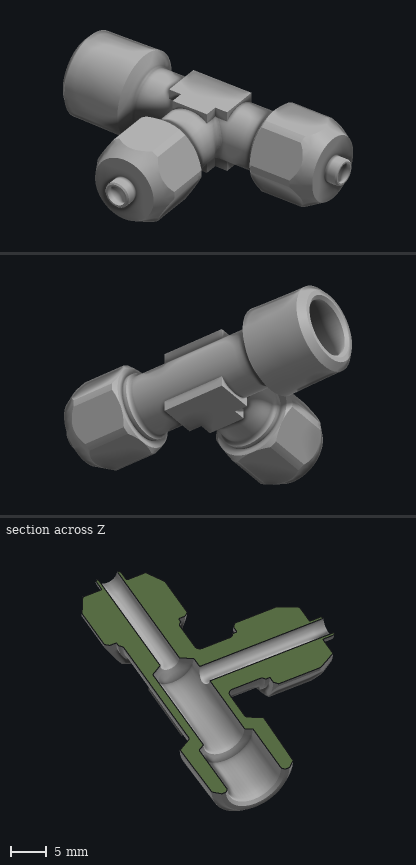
import cadquery as cq
import math


tube_radius = 4.5
bore_radius = 1.5

arm_length = 23.0
collar_radius = 5.0
collar_start = 10.3
collar_fillet = 0.65
nut_start = 11.0
nut_end = 21.05
nut_across_flats = 12.0
nut_corner_radius = 6.65
nut_back_chamfer = 0.55
nut_nose_length = 2.8
nut_nose_radius = 5.05
spigot_radius = 2.0
spigot_fillet = 0.15
spigot_chamfer = 0.22

socket_length = 21.5
socket_tip_length = 1.0
socket_tip_radius = 5.45
socket_front_radius = 6.5
socket_back_radius = 6.68
socket_body_length = 9.25
shoulder_angle = 60.0
shoulder_fillet = 0.5
mouth_radius = 4.7
mouth_chamfer = 0.45
socket_bore_radius = 4.25
socket_bore_depth = 8.9
step_radius = 3.25
drill_half_angle = 59.0

pad_half_width = 5.0
pad_half_height = 5.0
pad_back = 3.03
pad_shoulder = 2.95
pad_leg_half_width = pad_shoulder
crotch_fillet = 0.75


def turned(outline):
    """Spin an outline of (station, radius) about the X axis."""
    return outline.close().revolve(360, (0, 0, 0), (1, 0, 0))


def make_nut():
    """Hexagon with two flats facing +Z and -Z, rounded and tapered by a turned envelope."""
    corner_circle = nut_across_flats / math.cos(math.radians(30))
    hexagon = (
        cq.Workplane("YZ")
        .workplane(offset=nut_start)
        .polygon(6, corner_circle)
        .extrude(nut_end - nut_start)
    )
    envelope = turned(
        cq.Workplane("XY")
        .moveTo(nut_start, 0)
        .lineTo(nut_start, nut_across_flats / 2)
        .lineTo(nut_start + nut_back_chamfer, nut_corner_radius)
        .lineTo(nut_end - nut_nose_length, nut_corner_radius)
        .lineTo(nut_end, nut_nose_radius)
        .lineTo(nut_end, 0)
    )
    return hexagon.intersect(envelope)


def make_arm():
    """Tube, filleted collar, nut and spigot along +X."""
    fillet_sweep = math.acos(1 - (collar_radius - tube_radius) / collar_fillet)
    fillet_start = collar_start - collar_fillet * math.sin(fillet_sweep)
    fillet_middle = (
        fillet_start + collar_fillet * math.sin(fillet_sweep / 2),
        tube_radius + collar_fillet * (1 - math.cos(fillet_sweep / 2)),
    )
    spigot_base_radius = spigot_radius + spigot_fillet
    arm = turned(
        cq.Workplane("XY")
        .lineTo(0, tube_radius)
        .lineTo(fillet_start, tube_radius)
        .threePointArc(fillet_middle, (collar_start, collar_radius))
        .lineTo(nut_end, collar_radius)
        .lineTo(nut_end, spigot_base_radius)
        .radiusArc((nut_end + spigot_fillet, spigot_radius), -spigot_fillet)
        .lineTo(arm_length - spigot_chamfer, spigot_radius)
        .lineTo(arm_length, spigot_radius - spigot_chamfer)
        .lineTo(arm_length, 0)
    )
    return arm.union(make_nut())


def make_socket():
    """Tapered socket body along -X with a conical shoulder blending into the tube."""
    tip_end = socket_tip_length - socket_length
    body_end = tip_end + socket_body_length
    angle = math.radians(shoulder_angle)
    tangent = shoulder_fillet * math.tan(angle / 2)
    shoulder_end = body_end + (socket_back_radius - tube_radius) / math.tan(angle)
    fillet_top = (
        shoulder_end - tangent * math.cos(angle),
        tube_radius + tangent * math.sin(angle),
    )
    return turned(
        cq.Workplane("XY")
        .moveTo(-socket_length, 0)
        .lineTo(-socket_length, socket_tip_radius)
        .lineTo(tip_end, socket_front_radius)
        .lineTo(body_end, socket_back_radius)
        .lineTo(*fillet_top)
        .radiusArc((shoulder_end + tangent, tube_radius), -shoulder_fillet)
        .lineTo(0, tube_radius)
        .lineTo(0, 0)
    )


def make_socket_bore():
    """Chamfered bore with two drill-point cones; its narrower step runs past the crossing."""
    drill_slope = 1 / math.tan(math.radians(drill_half_angle))
    bore_end = socket_bore_depth - socket_length
    step_start = bore_end + (socket_bore_radius - step_radius) * drill_slope
    step_end = step_radius
    point_end = step_end + (step_radius - bore_radius) * drill_slope
    return turned(
        cq.Workplane("XY")
        .moveTo(-socket_length, 0)
        .lineTo(-socket_length, mouth_radius)
        .lineTo(mouth_chamfer - socket_length, socket_bore_radius)
        .lineTo(bore_end, socket_bore_radius)
        .lineTo(step_start, step_radius)
        .lineTo(step_end, step_radius)
        .lineTo(point_end, bore_radius)
        .lineTo(point_end, 0)
    )


def make_pad():
    """T-shaped pad standing proud of the crossing above and below."""
    return (
        cq.Workplane("XY")
        .workplane(offset=-pad_half_height)
        .moveTo(-pad_half_width, pad_back)
        .lineTo(pad_half_width, pad_back)
        .lineTo(pad_half_width, -pad_shoulder)
        .lineTo(pad_leg_half_width, -pad_shoulder)
        .lineTo(pad_leg_half_width, -pad_half_width)
        .lineTo(-pad_leg_half_width, -pad_half_width)
        .lineTo(-pad_leg_half_width, -pad_shoulder)
        .lineTo(-pad_half_width, -pad_shoulder)
        .close()
        .extrude(2 * pad_half_height)
    )


def turn_to_branch(shape):
    """Swing a shape lying along +X round to -Y."""
    return shape.rotate((0, 0, 0), (0, 0, 1), -90)


arm = make_arm()
bore = cq.Workplane("YZ").circle(bore_radius).extrude(arm_length)
body = make_socket().union(arm).union(turn_to_branch(arm)).union(make_pad())

crotch = cq.selectors.BoxSelector(
    (-pad_half_width, -pad_half_width, -tube_radius),
    (pad_half_width, -pad_leg_half_width, tube_radius),
)
body = body.edges(crotch).edges("%ELLIPSE").fillet(crotch_fillet)

through_bore = bore.union(bore.mirror("YZ"))
result = body.cut(through_bore).cut(turn_to_branch(bore)).cut(make_socket_bore())